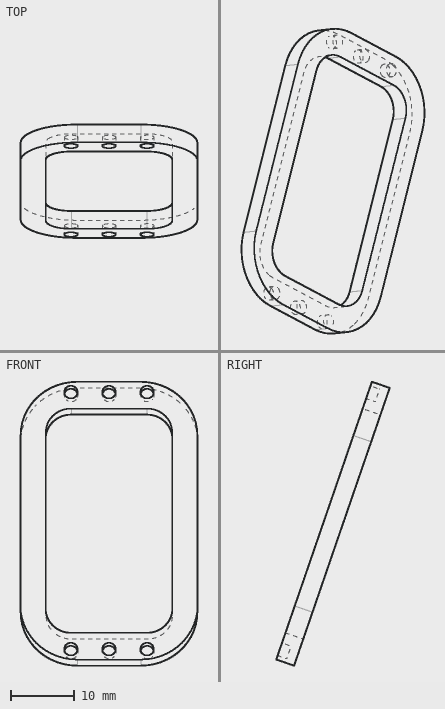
import cadquery as cq
import math

lean_angle = 19.0
overall_height = 44.95
width = 28.0
thickness = 3.0
lean = math.radians(lean_angle)
length = (overall_height - thickness * math.sin(lean)) / math.cos(lean)
outer_radius = 9.0

side_rail = 4.0
end_rail = 4.5
opening_width = width - 2 * side_rail
opening_length = length - 2 * end_rail
opening_radius = 4.0

hole_diameter = 2.1
hole_depth = 1.5
hole_pitch = 6.0
holes_per_row = 3
hole_edge_distance = 1.75
row_spacing = length - 2 * hole_edge_distance


def rounded_plate(plate_width, plate_length, corner_radius):
    """Upright plate in the XZ plane, centred on the origin."""
    return (
        cq.Workplane("XY")
        .box(plate_width, thickness, plate_length)
        .edges("|Y")
        .fillet(corner_radius)
    )


def hole_pins():
    """Cylinders that cut both rows of blind holes into the -Y face."""
    return (
        cq.Workplane("XZ", origin=(0, -thickness / 2, 0))
        .rarray(hole_pitch, row_spacing, holes_per_row, 2)
        .circle(hole_diameter / 2)
        .extrude(-hole_depth)
    )


frame = rounded_plate(width, length, outer_radius)
frame = frame.cut(rounded_plate(opening_width, opening_length, opening_radius))
frame = frame.cut(hole_pins())

result = frame.rotate((0, 0, 0), (1, 0, 0), -lean_angle)